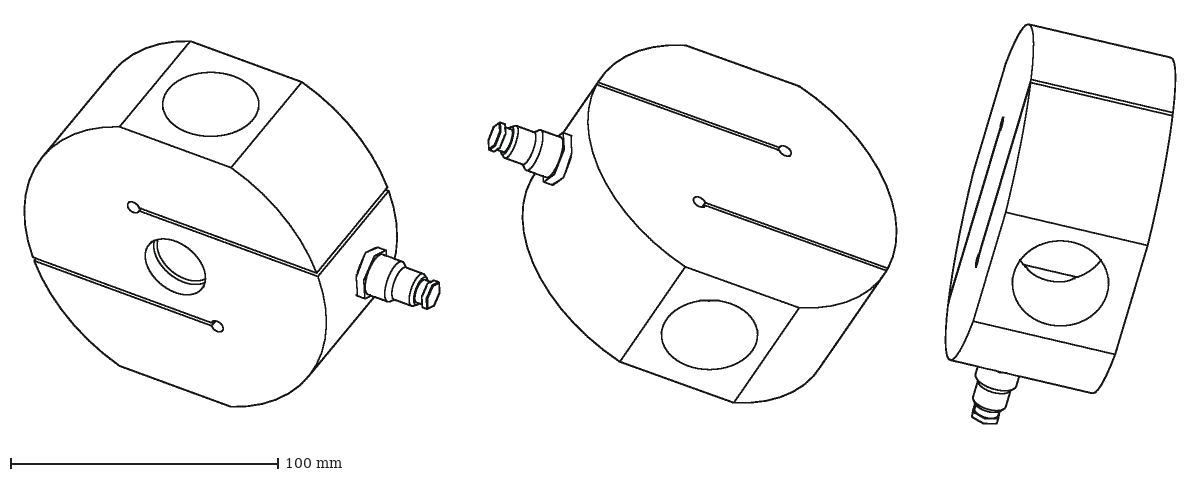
import cadquery as cq
import math

length = 157.0
thickness = 55.0
height = 120.0
disc_radius = 64.5

load_hole_diameter = 36.0

slot_offset = 22.1
slot_width = 1.49
slot_end_x = 17.9
slot_end_diameter = 5.0

pocket_diameter = 25.7
pocket_depth = 7.5
pocket_floor_chamfer = 1.0

gland_y = 4.9
gland_start = 63.9
nut_end = 67.7
nut_corner_radius = 10.0
nut_edge_fillet = 0.6
hex_tilt = 5.0
sleeve_radius = 8.0
sleeve_end = 76.0
shoulder_radius = 6.9
shoulder_end = 77.2
barrel_start = 78.2
barrel_radius = 6.5
barrel_end = 85.5
barrel_tip_radius = 5.5
barrel_tip_end = 87.0
neck_radius = 4.5
cap_start = 90.1
cap_corner_radius = 5.7
cap_edge_fillet = 0.5
cap_chamfer = 0.3
gland_end = length - disc_radius


def hex_prism(corner_radius, edge_fillet, x_start, x_end):
    """Hexagon with rounded edges along the gland axis, one corner up and tilted towards -Y."""
    corners = []
    for i in range(6):
        angle = math.radians(90 + hex_tilt + 60 * i)
        corners.append((corner_radius * math.cos(angle), corner_radius * math.sin(angle)))
    plane = cq.Workplane("YZ", origin=(x_start, gland_y, 0))
    prism = plane.polyline(corners).close().extrude(x_end - x_start)
    return prism.edges("|X").fillet(edge_fillet)


def make_gland():
    """Nut, stepped round barrel and hexagonal cap as one solid."""
    barrel = (
        cq.Workplane("XY", origin=(0, gland_y, 0))
        .moveTo(gland_start, 0)
        .lineTo(gland_start, sleeve_radius)
        .lineTo(sleeve_end, sleeve_radius)
        .lineTo(shoulder_end, shoulder_radius)
        .lineTo(barrel_start, barrel_radius)
        .lineTo(barrel_end, barrel_radius)
        .lineTo(barrel_tip_end, barrel_tip_radius)
        .lineTo(barrel_tip_end, neck_radius)
        .lineTo(gland_end, neck_radius)
        .lineTo(gland_end, 0)
        .close()
        .revolve(360, (0, 0, 0), (1, 0, 0))
    )
    nut = hex_prism(nut_corner_radius, nut_edge_fillet, gland_start, nut_end)
    cap = hex_prism(cap_corner_radius, cap_edge_fillet, cap_start, gland_end)
    cap = cap.faces(">X").chamfer(cap_chamfer)
    return barrel.union(nut).union(cap)


def keyhole_slot():
    """Upper slot, open at +X and ending in a round hole, through the full thickness."""
    slot_length = disc_radius + slot_end_x
    slot = cq.Workplane("XY").box(slot_length, thickness, slot_width, centered=(False, True, True))
    end_hole = cq.Workplane("XZ").circle(slot_end_diameter / 2).extrude(thickness / 2, both=True)
    return slot.union(end_hole).translate((-slot_end_x, 0, slot_offset))


def load_hole():
    """Hole from the upper flat down to the upper slot."""
    return (
        cq.Workplane("XY", origin=(0, 0, slot_offset))
        .circle(load_hole_diameter / 2)
        .extrude(height / 2 - slot_offset)
    )


def pocket():
    """Round pocket in the -Y face, bevelled around its floor."""
    recess = (
        cq.Workplane("XZ", origin=(0, pocket_depth - thickness / 2, 0))
        .circle(pocket_diameter / 2)
        .extrude(pocket_depth)
    )
    return recess.faces(">Y").chamfer(pocket_floor_chamfer)


def make_body(gland):
    """Disc with two flats; slots and load holes repeat by a half turn about Y."""
    disc = cq.Workplane("XZ").circle(disc_radius).extrude(thickness / 2, both=True)
    flats = cq.Workplane("XY").box(2 * disc_radius, thickness, height)
    body = disc.intersect(flats)
    for turn in (0, 180):
        for cutter in (keyhole_slot(), load_hole()):
            body = body.cut(cutter.rotate((0, 0, 0), (0, 1, 0), turn))
    return body.cut(pocket()).cut(gland)


cable_gland = make_gland()
load_cell_body = make_body(cable_gland)

result = cq.Compound.makeCompound([load_cell_body.val(), cable_gland.val()])